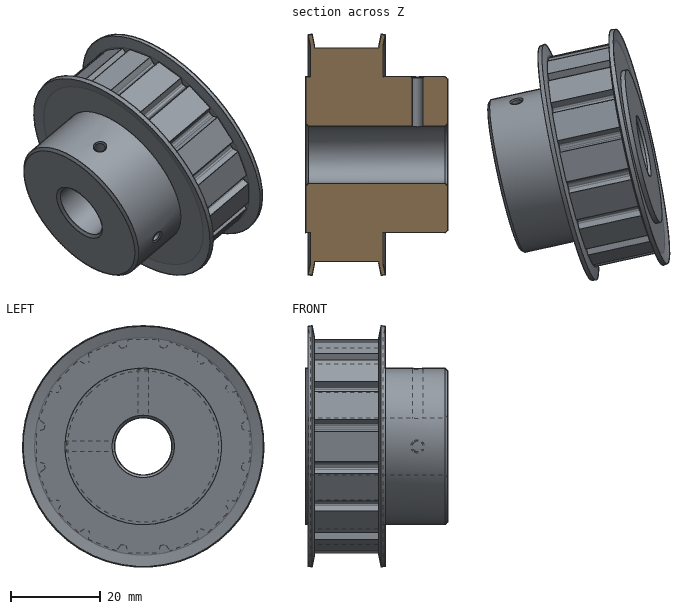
import cadquery as cq
import math


length = 31.75
outer_diameter = 54.0

tooth_count = 16
land_distance = 23.85
groove_floor_distance = 22.45
groove_floor_width = 1.2
groove_flank_angle = 25.0
groove_fillet = 0.45
ring_width = 14.3

sheet_thickness = 0.95
flare_depth = 0.55
bend_radius = 24.3
rim_drop = 0.15

hub_radius = 17.5
boss_length = 0.5
hub_chamfer = 0.6
bore_radius = 6.35
bore_chamfer = 0.6

screw_x = 25.0
screw_radius = 1.2
screw_countersink = 0.3
screw_angles = (0, 90)

plate_inner_x = boss_length + flare_depth + sheet_thickness
ring_end_x = plate_inner_x + ring_width
pitch_angle = 360.0 / tooth_count
land_corner_distance = land_distance / math.cos(math.radians(pitch_angle / 2))
cut_clearance = 0.55
axis_start = (0, 0, 0)
axis_end = (1, 0, 0)


def make_hub():
    """Full-length cylinder with a chamfered +X end."""
    hub = cq.Workplane("YZ").circle(hub_radius).extrude(length)
    return hub.faces(">X").edges().chamfer(hub_chamfer)


def make_flange(inner_x, outward):
    """Flared disc whose toothed side lies at inner_x; outward is the X sign of its other side."""
    outer_x = inner_x + outward * sheet_thickness
    rim_radius = outer_diameter / 2
    profile = [
        (inner_x, 0),
        (inner_x, bend_radius),
        (inner_x + outward * flare_depth, rim_radius),
        (outer_x + outward * flare_depth, rim_radius - rim_drop),
        (outer_x, bend_radius),
        (outer_x, 0),
    ]
    return cq.Workplane("XZ").polyline(profile).close().revolve(360, axis_start, axis_end)


def make_groove():
    """Tapered belt groove with rounded floor corners, centred on +Z."""
    cut_height = land_corner_distance + cut_clearance
    floor_half = groove_floor_width / 2
    spread = (cut_height - groove_floor_distance) * math.tan(math.radians(groove_flank_angle))
    outline = [
        (-floor_half, groove_floor_distance),
        (floor_half, groove_floor_distance),
        (floor_half + spread, cut_height),
        (-floor_half - spread, cut_height),
    ]
    groove = (
        cq.Workplane("YZ", origin=(plate_inner_x, 0, 0))
        .polyline(outline).close()
        .extrude(ring_width)
    )
    return groove.faces("<Z").edges("|X").fillet(groove_fillet)


def make_toothed_ring():
    """Prism with one flat per tooth and a groove at every corner."""
    ring = (
        cq.Workplane("YZ", origin=(plate_inner_x, 0, 0))
        .transformed(rotate=(0, 0, pitch_angle / 2))
        .polygon(tooth_count, 2 * land_corner_distance)
        .extrude(ring_width)
    )
    groove = make_groove()
    for index in range(tooth_count):
        ring = ring.cut(groove.rotate(axis_start, axis_end, (index + 0.5) * pitch_angle))
    return ring


def make_bore():
    """Through bore with a chamfer at both ends."""
    mouth_radius = bore_radius + bore_chamfer
    profile = [
        (0, 0),
        (0, mouth_radius),
        (bore_chamfer, bore_radius),
        (length - bore_chamfer, bore_radius),
        (length, mouth_radius),
        (length, 0),
    ]
    return cq.Workplane("XZ").polyline(profile).close().revolve(360, axis_start, axis_end)


def make_screw_hole(angle):
    """Radial countersunk hole from the hub surface into the bore."""
    mouth_radius = screw_radius + screw_countersink
    profile = [
        (0, 0),
        (screw_radius, 0),
        (screw_radius, hub_radius - screw_countersink),
        (mouth_radius, hub_radius),
        (0, hub_radius),
    ]
    hole = cq.Workplane("XZ").polyline(profile).close().revolve(360, (0, 0, 0), (0, 1, 0))
    return hole.translate((screw_x, 0, 0)).rotate(axis_start, axis_end, -angle)


result = make_hub()
result = result.union(make_toothed_ring())
result = result.union(make_flange(plate_inner_x, -1))
result = result.union(make_flange(ring_end_x, 1))
result = result.cut(make_bore())
for screw_angle in screw_angles:
    result = result.cut(make_screw_hole(screw_angle))